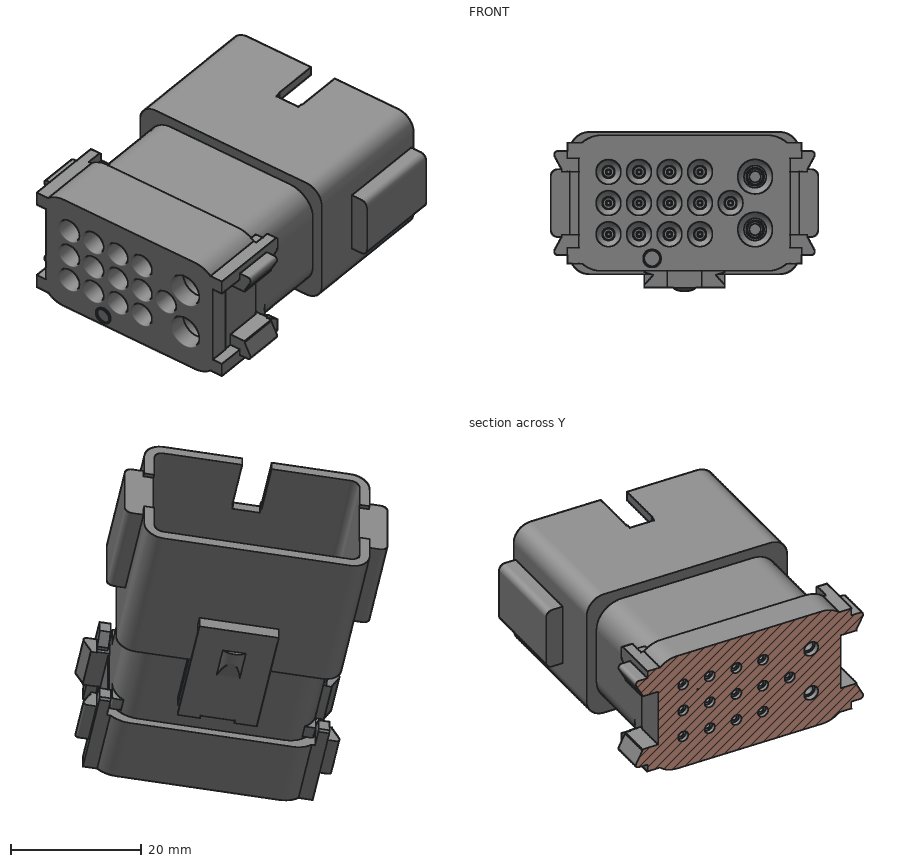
import cadquery as cq
import math


overlap = 0.5

ring_height = 0.2
total_length = 48.8
shell_rear = total_length - ring_height
shell_front = 25.5
insert_length = 10.9

shell_width = 35.25
shell_height = 21.85
shell_radius = 3.05
shell_wall = 1.55
cavity_front = shell_front + shell_wall

neck_width = 31.8
neck_height = 18.25
neck_radius = 4.4

insert_width = 32.4
insert_height = 20.85
insert_radius = 4.5
insert_round_width = 34.45
recess_start = 3.25
recess_depth = 0.1

wing_outer = 17.95
wing_inner = 16.25
wing_top = 9.25
wing_bottom = 6.9
wing_tip_bottom = 5.4
wing_slope_start = 11.95
wing_length = 13.95
wing_tip_chamfer = 0.35

hook_start = 4.55
hook_end = 11.2
hook_base_end = 11.35
hook_bottom = 4.85
hook_slope_bottom = 5.08
hook_top = 8.0
hook_root = 18.85
hook_corner = 20.4
hook_round = 0.6

pad_start = 11.35
pad_end = 13.4
pad_height = 8.25
pad_inner = 13.65
pad_round = 0.35

lug_span = 41.1
lug_height = 10.45
lug_start = 33.1
lug_end = 47.95
lug_radius = 1.1

key_width = 4.6
key_end_width = 4.3
key_step = 40.5
key_start = 39.65
notch_height = 7.85
notch_depth = shell_rear - lug_end

latch_half_width = 6.2
latch_bottom = -13.0
latch_start = 15.95
latch_end = 34.0
groove_end = 32.35
groove_top = -10.6
groove_root_z = -11.05
groove_root_x = 4.8
groove_bottom = -12.6
tongue_width = 5.35
tongue_recess = 0.5

bump_drop = 13.55
bump_half_width = 1.8
bump_flat_start = 28.0
bump_start = 25.0
bump_end = 29.95

small_pitch_x = 4.7
small_pitch_z = 4.8
small_first_x = -11.65
small_rows = {-1: 4, 0: 5, 1: 4}
large_x = 10.85
large_z = 4.05
small_mouth = 4.2
small_bore = 3.8
small_throat = 1.95
small_contact_bores = [1.7, 0.9, 0.6]
large_mouth = 5.6
large_bore = 5.3
large_throat = 3.4
large_contact_bores = [2.8, 2.4, 1.75]
small_bowl_start = 4.15
large_bowl_start = 2.95
bowl_bulge = 0.1
bore_step = 1.45

ring_outer = 2.8
ring_inner = 2.4
ring_x = -5.0
ring_z = -8.5


def block(x0, x1, y0, y1, z0, z1):
    """Box between two opposite corners."""
    return cq.Workplane("XY").box(x1 - x0, y1 - y0, z1 - z0, centered=False).translate((x0, y0, z0))


def profile_plane(y):
    """Workplane in X and Z at a given Y; a positive extrusion runs toward -Y."""
    return cq.Workplane("XZ", origin=(0, y, 0))


def rounded_bar(width, height, radius, y0, y1):
    """Bar along Y with rounded long edges."""
    bar = profile_plane(y1).rect(width, height).extrude(y1 - y0)
    return bar.edges("|Y").fillet(radius)


def at_four_corners(corner):
    """The +X +Z corner solid together with its mirror images."""
    upper = corner.union(corner.mirror("YZ"))
    return upper.union(upper.mirror("XY"))


def make_shell():
    shell = rounded_bar(shell_width, shell_height, shell_radius, shell_front, shell_rear)
    lugs = rounded_bar(lug_span, lug_height, lug_radius, lug_start, lug_end)
    cavity = rounded_bar(
        shell_width - 2 * shell_wall,
        shell_height - 2 * shell_wall,
        shell_radius - shell_wall,
        cavity_front,
        shell_rear,
    )
    key = block(-key_width / 2, key_width / 2, key_step, shell_rear, 0, shell_height)
    key_end = block(-key_end_width / 2, key_end_width / 2, key_start, key_step, 0, shell_height)
    notch = block(
        -shell_width, shell_width, shell_rear - notch_depth, shell_rear, -notch_height / 2, notch_height / 2
    )
    return shell.union(lugs).cut(cavity).cut(key).cut(key_end).cut(notch)


def make_insert():
    rounded = rounded_bar(insert_round_width, insert_height, insert_radius, 0, insert_length)
    front_half = insert_width / 2
    rear_half = front_half - recess_depth
    front = block(-front_half, front_half, 0, recess_start, -insert_height, insert_height)
    rear = block(-rear_half, rear_half, recess_start, insert_length, -insert_height, insert_height)
    return rounded.intersect(front.union(rear))


def make_wing():
    side = [
        (0, wing_top),
        (wing_length, wing_top),
        (wing_length, wing_bottom),
        (wing_slope_start, wing_tip_bottom),
        (hook_start, wing_tip_bottom),
        (hook_start, wing_bottom),
        (0, wing_bottom),
    ]
    plate = cq.Workplane("YZ", origin=(wing_inner, 0, 0)).polyline(side).close()
    plate = plate.extrude(wing_outer - wing_inner)
    plate = plate.faces(">Y").edges(">Z").chamfer(wing_tip_chamfer)
    root = block(neck_width / 2 - overlap, wing_inner, 0, insert_length, wing_bottom, wing_top)
    return plate.union(root)


def make_hook():
    outline = [
        (wing_inner, hook_bottom),
        (hook_root, hook_bottom),
        (hook_root, hook_slope_bottom),
        (hook_corner, hook_top),
        (wing_inner, hook_top),
    ]
    hook = profile_plane(hook_end).polyline(outline).close().extrude(hook_end - hook_start)
    hook = hook.faces(">Z").edges(">X").fillet(hook_round)
    base = block(neck_width / 2 - overlap, wing_outer, hook_start, hook_base_end, hook_bottom, wing_bottom)
    return hook.union(base)


def make_pad():
    tangent_z = neck_height / 2 - neck_radius
    pad = block(pad_inner, neck_width / 2, pad_start, pad_end, tangent_z, pad_height)
    return pad.faces(">Z").edges(">X").fillet(pad_round)


def make_latch():
    neck_core = -neck_height / 2 + overlap
    latch = block(-latch_half_width, latch_half_width, latch_start, shell_front, latch_bottom, neck_core)
    under_shell = block(
        -latch_half_width, latch_half_width, shell_front, latch_end, latch_bottom, -shell_height / 2 + overlap
    )
    groove = (
        profile_plane(groove_end)
        .moveTo(latch_half_width, groove_top)
        .lineTo(groove_root_x, groove_root_z)
        .lineTo(latch_half_width, groove_bottom)
        .close()
        .extrude(groove_end - latch_start)
    )
    tongue_gap = block(
        -tongue_width / 2, tongue_width / 2, latch_start, latch_start + tongue_recess, latch_bottom, neck_core
    )
    return latch.union(under_shell).cut(groove).cut(groove.mirror("YZ")).cut(tongue_gap)


def make_bump():
    """Crowned bump whose crown slopes away toward the wire-entry side."""
    crown = (
        profile_plane(bump_end)
        .moveTo(-bump_half_width, latch_bottom)
        .threePointArc((0, -bump_drop), (bump_half_width, latch_bottom))
        .close()
        .extrude(bump_end - bump_start)
    )
    slope = (
        cq.Workplane("YZ", origin=(-bump_half_width, 0, 0))
        .moveTo(bump_start, latch_bottom)
        .lineTo(bump_flat_start, -bump_drop)
        .lineTo(bump_end, -bump_drop)
        .lineTo(bump_end, latch_bottom)
        .close()
        .extrude(2 * bump_half_width)
    )
    return crown.intersect(slope)


def wire_entry(mouth, bore, bowl_start, bowl_end, steps):
    """Revolved cutter: rounded mouth, straight bore, dished bowl and stepped contact bores."""
    lip_radius = (mouth - bore) / 2
    lip_mid_x = lip_radius * math.sqrt(0.5)
    lip_mid_y = lip_radius * (1 - math.sqrt(0.5))
    bowl_width = (bore - bowl_end) / 2
    bowl_bottom = bowl_start + bowl_width
    mid_x = bore / 2 - bowl_width * (0.5 - bowl_bulge)
    mid_y = bowl_start + bowl_width * (0.5 + bowl_bulge)
    outline = (
        cq.Workplane("XY")
        .lineTo(mouth / 2, 0)
        .threePointArc((mouth / 2 - lip_mid_x, lip_mid_y), (bore / 2, lip_radius))
        .lineTo(bore / 2, bowl_start)
        .threePointArc((mid_x, mid_y), (bowl_end / 2, bowl_bottom))
    )
    depth = bowl_bottom
    for diameter in steps:
        outline = outline.lineTo(diameter / 2, depth)
        depth += bore_step
        outline = outline.lineTo(diameter / 2, depth)
    return outline.lineTo(0, depth).close().revolve(360, (0, 0, 0), (0, 1, 0))


small_entry = wire_entry(small_mouth, small_bore, small_bowl_start, small_throat, small_contact_bores)
large_entry = wire_entry(large_mouth, large_bore, large_bowl_start, large_throat, large_contact_bores)

neck = rounded_bar(neck_width, neck_height, neck_radius, insert_length, cavity_front)
corner = make_wing().union(make_hook()).union(make_pad())

result = make_shell().union(neck).union(make_insert()).union(at_four_corners(corner))
result = result.union(make_latch()).union(make_bump())

for row, count in small_rows.items():
    for column in range(count):
        result = result.cut(
            small_entry.translate((small_first_x + column * small_pitch_x, 0, row * small_pitch_z))
        )

for side in (-1, 1):
    result = result.cut(large_entry.translate((large_x, 0, side * large_z)))

ring = profile_plane(0).circle(ring_outer / 2).circle(ring_inner / 2).extrude(ring_height)
result = result.union(ring.translate((ring_x, 0, ring_z)))